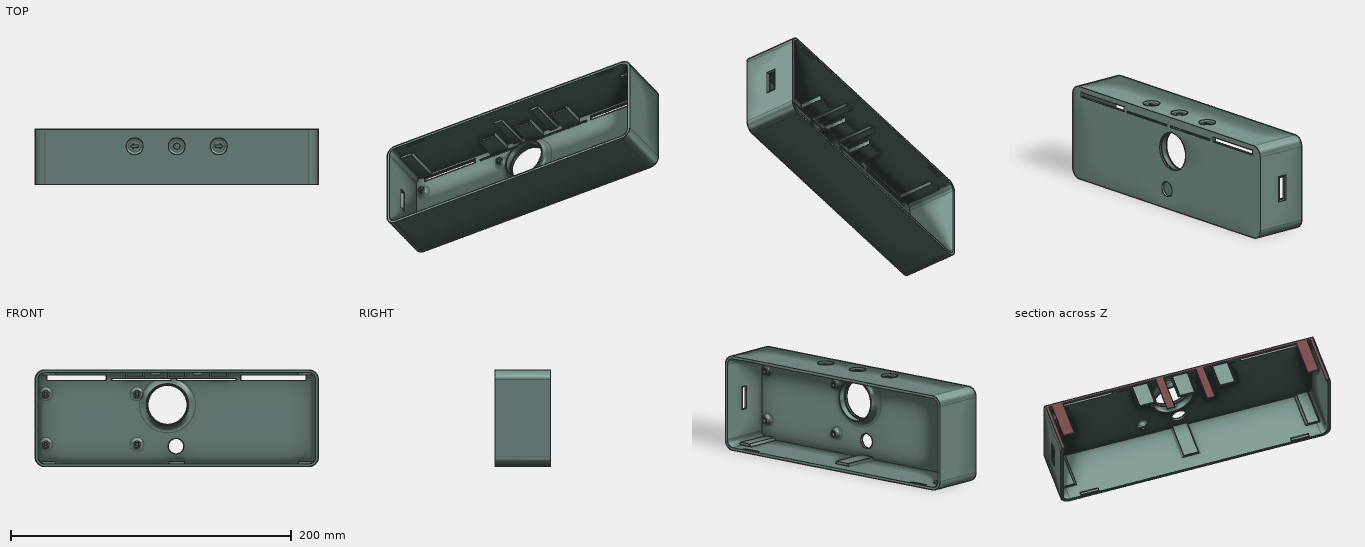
import cadquery as cq
import math


LENGTH = 202.0
DEPTH = 39.6
HEIGHT = 69.0
WALL = 2.0
CORNER_RADIUS = 7.0
EMBED = WALL / 2
BACK_INNER = DEPTH - WALL
CEILING = HEIGHT - WALL

BOSS_X = (7.65, 72.65)
BOSS_Z = (16.0, 52.0)
BOSS_RADIUS = 2.3
BOSS_FLARE = 2.6
BOSS_HEIGHT = 4.0
BOSS_HOLE_RADIUS = 1.25
COLLAR_X = 94.4
COLLAR_Z = 44.1
COLLAR_RADIUS = 15.1
COLLAR_FLARE = 4.8
COLLAR_HEIGHT = 5.4
SPEAKER_SEAT_RADIUS = 14.6
SPEAKER_RADIUS = 13.9

JACK_X = 100.5
JACK_Z = 14.6
JACK_RADIUS = 5.5
SLOT_BOTTOM = 61.6
VENT_TOP = 65.2
VENTS_X = ((8.6, 50.7), (146.7, 193.0))
THIN_SLOT_TOP = 62.7
THIN_SLOTS_X = ((54.7, 96.9), (101.0, 143.3))

PAD_HEIGHT = 1.8
PAD_FRONT = 10.5
CORNER_PAD_START = 3.8
CORNER_PAD_END = 15.3
CORNER_PAD_SLOPE = 1.7
MIDDLE_PAD_WIDTH = 11.0
MIDDLE_PAD_FILLET = 1.0
CEILING_PAD_WIDTH = 7.8
CEILING_PAD_SLOPE = 1.0

BUTTON_PITCH = 30.0
BUTTONS_X = tuple(LENGTH / 2 + i * BUTTON_PITCH for i in (-1, 0, 1))
BUTTON_Y = 27.3
DISH_DEPTH = 1.0
DISH_FLOOR_RADIUS = 4.3
DISH_FILLET = 2.0
MARK_DEPTH = 0.2
RING_MARK_RADIUS = 2.2
ARROW_LENGTH = 5.6
ARROW_HEAD_LENGTH = 1.8
ARROW_HEAD_WIDTH = 3.6
ARROW_SHAFT_WIDTH = 1.8
SLEEVE_WIDTH = 13.1
SLEEVE_FRONT = 20.0
SENSOR_WIDTH = 11.2
SENSOR_BOTTOM = 64.0

SIDE_SLOT_Y = 18.6
SIDE_SLOT_WIDTH = 4.6
SIDE_SLOT_HEIGHT = 16.5
SIDE_SLOT_FLARE = 1.2
SIDE_SLOT_FLARE_DEPTH = 0.5

GROOVE_START = 15.6
GROOVE_LENGTH = 13.4
GROOVE_FRONT = 1.0
GROOVE_WIDTH = 2.3
GROOVE_DEPTH = 0.6


def box(x0, x1, y0, y1, z0, z1):
    return cq.Workplane("XY").box(x1 - x0, y1 - y0, z1 - z0, centered=False).translate((x0, y0, z0))


def cylinder_y(x, z, radius, y0, y1):
    return cq.Workplane("XZ", origin=(x, y0, z)).circle(radius).extrude(y0 - y1)


def rounded_block(length, height, depth, radius):
    block = cq.Workplane("XY").box(length, depth, height, centered=False)
    return block.edges("|Y").fillet(radius)


def cavity():
    room = rounded_block(LENGTH - 2 * WALL, HEIGHT - 2 * WALL, BACK_INNER, CORNER_RADIUS - WALL)
    return room.translate((WALL, 0, WALL))


def flared_boss(x, z, radius, flare, height):
    """Round boss on the back wall whose foot widens in a concave fillet."""
    mid = flare * (1 - math.sqrt(0.5))
    profile = (
        cq.Workplane("XY")
        .lineTo(0, -height)
        .lineTo(radius, -height)
        .lineTo(radius, -flare)
        .threePointArc((radius + mid, -mid), (radius + flare, 0))
        .lineTo(radius + flare, EMBED)
        .lineTo(0, EMBED)
        .close()
    )
    return profile.revolve(360, (0, 0), (0, 1)).translate((x, BACK_INNER, z))


def collar():
    """Speaker collar, its flare trimmed flat at the top of the thin slots."""
    ring = flared_boss(COLLAR_X, COLLAR_Z, COLLAR_RADIUS, COLLAR_FLARE, COLLAR_HEIGHT)
    return ring.cut(box(0, LENGTH, 0, BACK_INNER, THIN_SLOT_TOP, HEIGHT))


def pad_prism(outline):
    """Extrude an XZ outline from the pad front into the back wall."""
    return outline.close().extrude(PAD_FRONT - (BACK_INNER + EMBED))


def pad_plane():
    return cq.Workplane("XZ", origin=(0, PAD_FRONT, 0))


def corner_pad():
    top = WALL + PAD_HEIGHT
    return pad_prism(
        pad_plane()
        .moveTo(CORNER_PAD_START, EMBED)
        .lineTo(CORNER_PAD_END, EMBED)
        .lineTo(CORNER_PAD_END, WALL)
        .lineTo(CORNER_PAD_END - CORNER_PAD_SLOPE, top)
        .lineTo(CORNER_PAD_START + CORNER_PAD_SLOPE, top)
        .lineTo(CORNER_PAD_START, WALL)
    )


def corner_pads():
    left_bottom = corner_pad()
    bottom = left_bottom.union(left_bottom.mirror("YZ", (LENGTH / 2, 0, 0)))
    pads = bottom.union(bottom.mirror("XY", (0, 0, HEIGHT / 2)))
    outline = rounded_block(LENGTH, HEIGHT, DEPTH, CORNER_RADIUS)
    return pads.intersect(outline)


def middle_pad():
    half = MIDDLE_PAD_WIDTH / 2
    r = MIDDLE_PAD_FILLET
    mid = r * (1 - math.sqrt(0.5))
    top = WALL + PAD_HEIGHT
    centre = LENGTH / 2
    return pad_prism(
        pad_plane()
        .moveTo(centre - half - r, EMBED)
        .lineTo(centre - half - r, WALL)
        .threePointArc((centre - half - mid, WALL + mid), (centre - half, WALL + r))
        .lineTo(centre - half, top)
        .lineTo(centre + half, top)
        .lineTo(centre + half, WALL + r)
        .threePointArc((centre + half + mid, WALL + mid), (centre + half + r, WALL))
        .lineTo(centre + half + r, EMBED)
    )


def ceiling_pad(x):
    half = CEILING_PAD_WIDTH / 2
    bottom = CEILING - PAD_HEIGHT
    return pad_prism(
        pad_plane()
        .moveTo(x - half, CEILING + EMBED)
        .lineTo(x - half, CEILING)
        .lineTo(x - half + CEILING_PAD_SLOPE, bottom)
        .lineTo(x + half - CEILING_PAD_SLOPE, bottom)
        .lineTo(x + half, CEILING)
        .lineTo(x + half, CEILING + EMBED)
    )


def sensor_sleeve(x):
    """Sleeve hanging from the ceiling with a pocket open to the front."""
    half = SLEEVE_WIDTH / 2
    pocket_half = SENSOR_WIDTH / 2
    sleeve = box(x - half, x + half, SLEEVE_FRONT, BACK_INNER + EMBED, THIN_SLOT_TOP, CEILING + EMBED)
    return sleeve.cut(box(x - pocket_half, x + pocket_half, SLEEVE_FRONT, BACK_INNER, SENSOR_BOTTOM, CEILING))


def dish(x):
    """Shallow round recess whose wall curves into a flat floor."""
    def reach(rise):
        return math.sqrt(DISH_FILLET**2 - (DISH_FILLET - rise) ** 2)

    profile = (
        cq.Workplane("XZ")
        .lineTo(DISH_FLOOR_RADIUS, 0)
        .threePointArc(
            (DISH_FLOOR_RADIUS + reach(DISH_DEPTH / 2), DISH_DEPTH / 2),
            (DISH_FLOOR_RADIUS + reach(DISH_DEPTH), DISH_DEPTH),
        )
        .lineTo(0, DISH_DEPTH)
        .close()
    )
    return profile.revolve(360, (0, 0), (0, 1)).translate((x, BUTTON_Y, HEIGHT - DISH_DEPTH))


def mark_plane(x):
    return cq.Workplane("XY", origin=(x, BUTTON_Y, HEIGHT - DISH_DEPTH - MARK_DEPTH))


def ring_mark(x):
    return mark_plane(x).circle(RING_MARK_RADIUS).extrude(MARK_DEPTH)


def arrow_mark(x, direction):
    """Arrow pointing along +X (direction 1) or -X (direction -1)."""
    tip = direction * ARROW_LENGTH / 2
    neck = tip - direction * ARROW_HEAD_LENGTH
    head = ARROW_HEAD_WIDTH / 2
    shaft = ARROW_SHAFT_WIDTH / 2
    outline = [(tip, 0), (neck, head), (neck, shaft), (-tip, shaft), (-tip, -shaft), (neck, -shaft), (neck, -head)]
    return mark_plane(x).polyline(outline).close().extrude(MARK_DEPTH)


def side_slot():
    """Slot through the left wall with a flared mouth."""
    plane = cq.Workplane("YZ", origin=(0, SIDE_SLOT_Y, HEIGHT / 2))
    slot = plane.rect(SIDE_SLOT_WIDTH, SIDE_SLOT_HEIGHT).extrude(WALL)
    mouth = (
        plane.rect(SIDE_SLOT_WIDTH + 2 * SIDE_SLOT_FLARE, SIDE_SLOT_HEIGHT + 2 * SIDE_SLOT_FLARE)
        .workplane(offset=SIDE_SLOT_FLARE_DEPTH)
        .rect(SIDE_SLOT_WIDTH, SIDE_SLOT_HEIGHT)
        .loft(combine=True)
    )
    return slot.union(mouth)


def snap_grooves():
    """Square grooves in floor and ceiling near both ends of the rim."""
    left = box(
        GROOVE_START,
        GROOVE_START + GROOVE_LENGTH,
        GROOVE_FRONT,
        GROOVE_FRONT + GROOVE_WIDTH,
        WALL - GROOVE_DEPTH,
        WALL,
    )
    floor = left.union(left.mirror("YZ", (LENGTH / 2, 0, 0)))
    return floor.union(floor.mirror("XY", (0, 0, HEIGHT / 2)))


body = rounded_block(LENGTH, HEIGHT, DEPTH, CORNER_RADIUS).cut(cavity())

body = body.union(corner_pads()).union(middle_pad())
for left, right in zip(BUTTONS_X, BUTTONS_X[1:]):
    body = body.union(ceiling_pad((left + right) / 2))
for x in BUTTONS_X:
    body = body.union(sensor_sleeve(x))
body = body.union(collar())
for x in BOSS_X:
    for z in BOSS_Z:
        body = body.union(flared_boss(x, z, BOSS_RADIUS, BOSS_FLARE, BOSS_HEIGHT))
        body = body.cut(cylinder_y(x, z, BOSS_HOLE_RADIUS, BACK_INNER - BOSS_HEIGHT, BACK_INNER))

body = body.cut(cylinder_y(COLLAR_X, COLLAR_Z, SPEAKER_SEAT_RADIUS, BACK_INNER - COLLAR_HEIGHT, BACK_INNER))
body = body.cut(cylinder_y(COLLAR_X, COLLAR_Z, SPEAKER_RADIUS, BACK_INNER, DEPTH))
body = body.cut(cylinder_y(JACK_X, JACK_Z, JACK_RADIUS, BACK_INNER, DEPTH))
for x0, x1 in VENTS_X:
    body = body.cut(box(x0, x1, BACK_INNER, DEPTH, SLOT_BOTTOM, VENT_TOP))
for x0, x1 in THIN_SLOTS_X:
    body = body.cut(box(x0, x1, BACK_INNER - COLLAR_HEIGHT, DEPTH, SLOT_BOTTOM, THIN_SLOT_TOP))

for x in BUTTONS_X:
    body = body.cut(dish(x))
body = body.cut(arrow_mark(BUTTONS_X[0], -1)).cut(ring_mark(BUTTONS_X[1])).cut(arrow_mark(BUTTONS_X[2], 1))
body = body.cut(side_slot()).cut(snap_grooves())

result = body